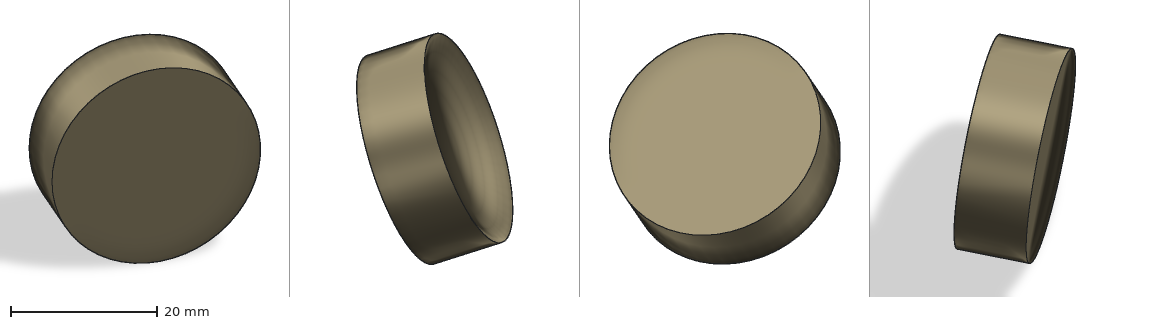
import cadquery as cq

diameter = 30.0
edge_thickness = 10.15
dish_depth = 3.85

rim_radius = diameter / 2
front_x = -edge_thickness / 2
back_x = edge_thickness / 2
dish_bottom_x = front_x + dish_depth

sphere_radius = (rim_radius**2 + dish_depth**2) / (2 * dish_depth)
sphere_center_x = dish_bottom_x - sphere_radius

arc_mid_y = -rim_radius / 2
arc_mid_x = sphere_center_x + (sphere_radius**2 - arc_mid_y**2) ** 0.5

result = (
    cq.Workplane("XY")
    .moveTo(dish_bottom_x, 0)
    .threePointArc((arc_mid_x, arc_mid_y), (front_x, -rim_radius))
    .lineTo(back_x, -rim_radius)
    .lineTo(back_x, 0)
    .close()
    .revolve(360, (0, 0, 0), (1, 0, 0))
)